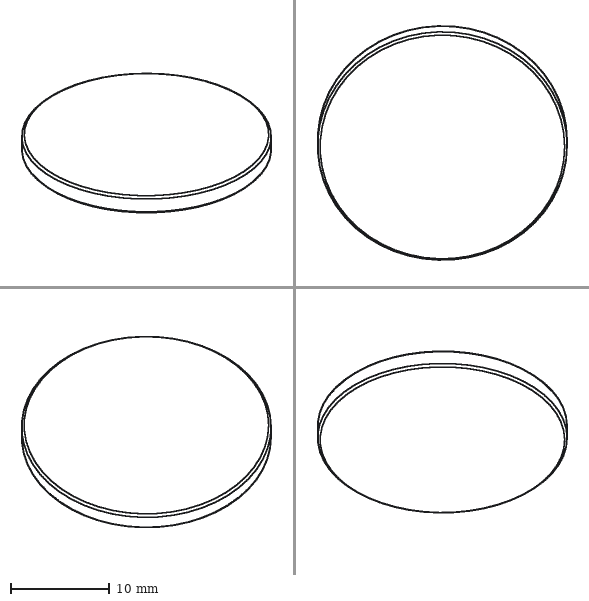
import cadquery as cq

diameter = 25.4
center_thickness = 2.35
dome_rise = 0.35
bevel = 0.25

radius = diameter / 2
dome_edge_radius = radius - bevel
dome_edge_height = center_thickness - dome_rise

sphere_radius = (dome_edge_radius**2 + dome_rise**2) / (2 * dome_rise)

mid_radius = dome_edge_radius / 2
mid_height = center_thickness - sphere_radius + (sphere_radius**2 - mid_radius**2) ** 0.5

half_section = (
    cq.Workplane("YZ")
    .moveTo(0, 0)
    .lineTo(radius - bevel, 0)
    .lineTo(radius, bevel)
    .lineTo(radius, dome_edge_height - bevel)
    .lineTo(dome_edge_radius, dome_edge_height)
    .threePointArc((mid_radius, mid_height), (0, center_thickness))
    .close()
)

result = half_section.revolve(360, (0, 0, 0), (0, 1, 0))